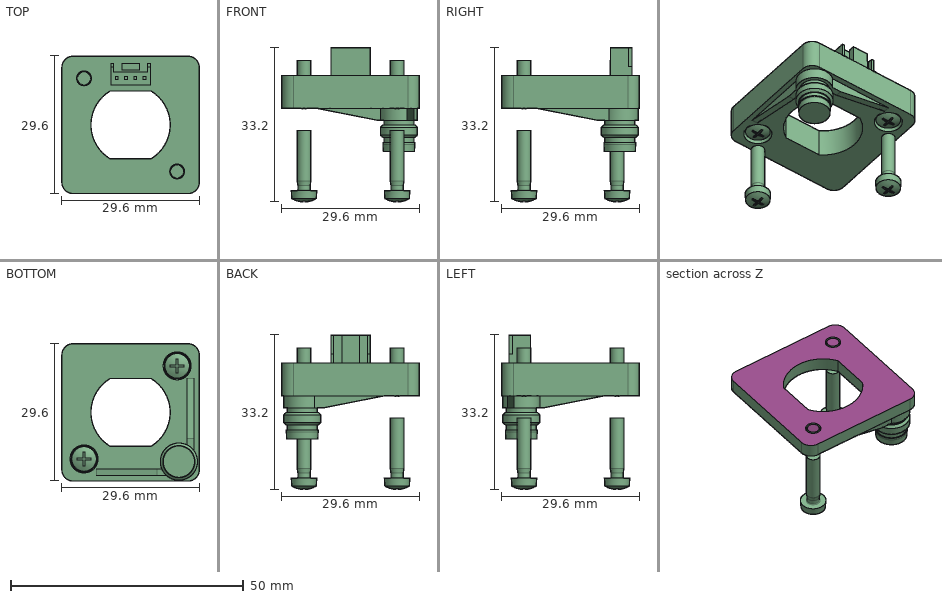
import cadquery as cq
import math


plate_side = 29.6
plate_thickness = 7.1
plate_corner_radius = 2.5
window_diameter = 16.98
window_flat_spacing = 14.5

screw_spacing = 20.0
screw_offset = screw_spacing / 2
screw_diameter = 3.0
screw_neck_diameter = 2.7
screw_neck_length = 1.05
screw_taper_length = 0.95
neck_root_fillet = 0.13
head_top_diameter = 5.55
head_rim_diameter = 5.3
head_rim_height = 1.72
head_dome_height = 0.75
head_height = head_rim_height + head_dome_height
drive_slot_width = 0.4
drive_slot_depth = 0.23
short_screw_length = 7.93
long_screw_length = 12.9
short_screw_tip_z = -0.1
long_screw_tip_z = -20.15
screw_hole_diameter = 3.2
head_recess_diameter = 6.0
head_recess_depth = short_screw_tip_z + head_height

boss_x = 10.38
boss_y = 10.58
boss_diameter = 8.0
boss_height = 2.55
rib_inner = 12.17
rib_outer = 13.6
rib_slope_start = 5.65
rib_slope_end = -7.3

stub_neck_diameter = 6.5
stub_lip_diameter = 6.9
stub_end_diameter = 6.75
collar_start = 0.95
collar_end = 3.7
collar_chamfer = (boss_diameter - stub_lip_diameter) / 2
lip_start = 4.8
lip_end = 5.25
stub_length = 6.75

connector_width = 8.5
connector_height = 5.95
connector_front_y = 8.55
connector_back_y = 13.25
connector_body_back_y = 11.35
connector_step_y = 12.45
connector_step_height = 1.95
connector_wall = 0.6
latch_width = 3.78
latch_front_y = 11.8
contact_count = 4
contact_pitch = 2.0
contact_size = 0.6
contact_y = 10.1
contact_depth = 2.0

screw_places = [(-screw_offset, screw_offset), (screw_offset, -screw_offset)]


def box_between(x0, x1, y0, y1, z0, z1):
    """Box given by its limits along each axis."""
    return cq.Workplane("XY").box(x1 - x0, y1 - y0, z1 - z0, centered=False).translate((x0, y0, z0))


def make_window():
    """Round cutter with two flats, for the opening in the plate."""
    round_part = cq.Workplane("XY").circle(window_diameter / 2).extrude(plate_thickness)
    flats = cq.Workplane("XY").rect(plate_side, window_flat_spacing).extrude(plate_thickness)
    return round_part.intersect(flats)


def make_rib():
    """Wedge-shaped rib that runs along X from the boss and fades out under the plate."""
    return (
        cq.Workplane("XZ", origin=(0, rib_outer, 0))
        .moveTo(rib_slope_end, 0)
        .lineTo(boss_x, 0)
        .lineTo(boss_x, -boss_height)
        .lineTo(rib_slope_start, -boss_height)
        .close()
        .extrude(rib_outer - rib_inner)
    )


def make_stub():
    """Turned stub with a chamfered collar and an end lip, hanging below the boss."""
    neck = stub_neck_diameter / 2
    lip = stub_lip_diameter / 2
    collar = boss_diameter / 2
    profile = [
        (0, 0),
        (neck, 0),
        (neck, -collar_start),
        (lip, -collar_start),
        (collar, -collar_start - collar_chamfer),
        (collar, -collar_end + collar_chamfer),
        (lip, -collar_end),
        (neck, -collar_end),
        (neck, -lip_start),
        (lip, -lip_start),
        (lip, -lip_end),
        (stub_end_diameter / 2, -stub_length),
        (0, -stub_length),
    ]
    turned = cq.Workplane("XZ").polyline(profile).close().revolve(360, (0, 0), (0, 1))
    return turned.translate((boss_x, boss_y, -boss_height))


def make_plate():
    """Square plate with its window, recessed screw holes, boss, ribs and stub."""
    block = cq.Workplane("XY").rect(plate_side, plate_side).extrude(plate_thickness)
    block = block.edges("|Z").fillet(plate_corner_radius)
    screw_axes = cq.Workplane("XY").pushPoints(screw_places)
    holes = screw_axes.circle(screw_hole_diameter / 2).extrude(plate_thickness)
    recesses = screw_axes.circle(head_recess_diameter / 2).extrude(head_recess_depth)
    boss = cq.Workplane("XY").center(boss_x, boss_y).circle(boss_diameter / 2).extrude(-boss_height)
    rib_along_x = make_rib()
    rib_along_y = rib_along_x.mirror(cq.Vector(1, -1, 0))
    block = block.cut(make_window()).cut(holes).cut(recesses)
    return block.union(boss).union(rib_along_x).union(rib_along_y).union(make_stub())


def make_screw(length):
    """Upright screw, head down, with the tip of its dome at Z = 0 and `length` above the head."""
    neck = screw_neck_diameter / 2
    shank = screw_diameter / 2
    rim = head_rim_diameter / 2
    taper_start = head_height + screw_neck_length
    dome_radius = (rim**2 + head_dome_height**2) / (2 * head_dome_height)
    dome_mid_height = dome_radius - math.sqrt(dome_radius**2 - (rim / 2) ** 2)
    root_mid = neck_root_fillet * (1 - math.sqrt(0.5))
    turned = (
        cq.Workplane("XZ")
        .threePointArc((rim / 2, dome_mid_height), (rim, head_dome_height))
        .lineTo(head_top_diameter / 2, head_height)
        .lineTo(neck + neck_root_fillet, head_height)
        .threePointArc((neck + root_mid, head_height + root_mid), (neck, head_height + neck_root_fillet))
        .lineTo(neck, taper_start)
        .lineTo(shank, taper_start + screw_taper_length)
        .lineTo(shank, head_height + length)
        .lineTo(0, head_height + length)
        .close()
        .revolve(360, (0, 0), (0, 1))
    )
    slot = cq.Workplane("XY").rect(head_top_diameter, drive_slot_width).extrude(drive_slot_depth)
    crossing_slot = slot.rotate((0, 0, 0), (0, 0, 1), 90)
    return turned.cut(slot).cut(crossing_slot)


def place_screws(length, tip_z):
    """One screw of the given length on each screw axis."""
    return [make_screw(length).translate((x, y, tip_z)).val() for x, y in screw_places]


def make_connector():
    """Socket with a row of square contact holes and two stepped side walls behind it."""
    half_width = connector_width / 2
    recess_half = half_width - connector_wall
    base = plate_thickness
    step = base + connector_step_height
    top = base + connector_height
    socket = box_between(-half_width, half_width, connector_front_y, connector_back_y, base, top)
    recess = box_between(-recess_half, recess_half, connector_body_back_y, connector_back_y, base, top)
    wall_step = box_between(-half_width, half_width, connector_step_y, connector_back_y, step, top)
    contacts = (
        cq.Workplane("XY", origin=(0, contact_y, top))
        .rarray(contact_pitch, 0.33, contact_count, 1)
        .rect(contact_size, contact_size)
        .extrude(-contact_depth)
    )
    return socket.cut(recess).cut(wall_step).cut(contacts)


def make_latch():
    """Upright block that stands free between the side walls of the connector."""
    base = plate_thickness
    top = base + connector_height
    return box_between(-latch_width / 2, latch_width / 2, latch_front_y, connector_back_y, base, top)


plate = make_plate()
connector = make_connector()
latch = make_latch()
short_screws = place_screws(short_screw_length, short_screw_tip_z)
long_screws = place_screws(long_screw_length, long_screw_tip_z)

result = cq.Compound.makeCompound(
    [plate.val(), connector.val(), latch.val(), *short_screws, *long_screws]
)